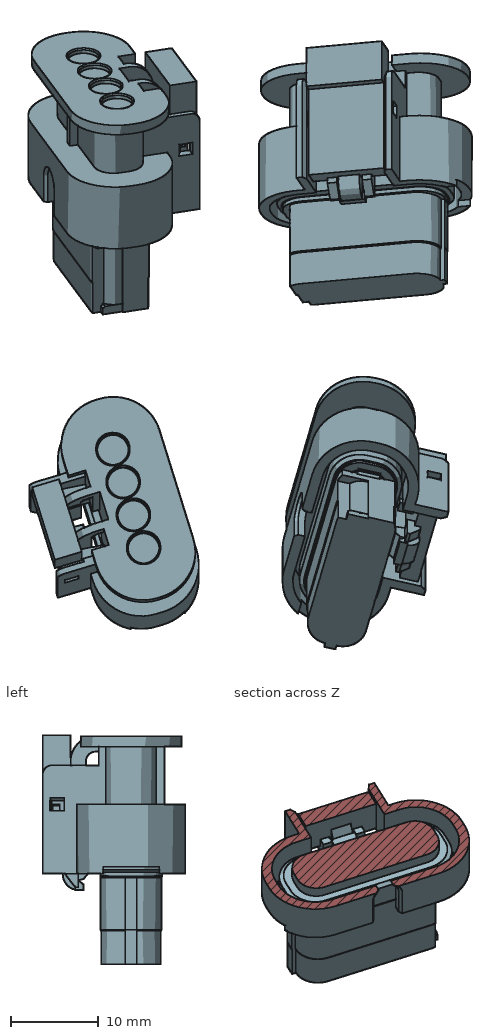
import cadquery as cq
total_height = 26.1
flange_top = 26.0
flange_bottom = 24.8
wing_top = 22.68
collar_top = 18.22
cavity_top = 16.18
seal_top = 13.65
collar_bottom = 10.34
ring_bottom = 10.05
cap_top = 9.9
cap_step_top = 3.97
cap_step_bottom = 3.8

flange_half_x, flange_half_y, flange_radius = 12.05, 5.75, 5.53
collar_half_x, collar_half_y, collar_radius = 12.228, 6.173, 5.77
collar_wall = 1.2
core_half_x, core_half_y, core_radius = 8.72, 2.87, 2.35
neck_half_x, neck_half_y = 8.65, 2.65
plug_half_x = 7.93
ring_half_x, ring_half_y, ring_radius = 9.47, 3.55, 2.9
seal_lip_x, seal_lip_y = 9.63, 3.7
seal_flare = 0.5
seal_bevel = 0.3
seal_bottom = 10.52
core_rib_width = 1.05
core_rib_front = 3.8
gusset_width = 2.6
gusset_drop = 0.23

wire_count = 4
wire_pitch = 4.0
wire_diameter = 3.55
wire_depth = 0.6
wire_chamfer = 0.17

arch_half_width = 1.85
arch_side_height = 3.3
arch_center_z = collar_bottom + arch_side_height
arch_chamfer = 0.3
arch_chamfer_depth = 0.4
end_notch_half_y = 3.2
end_notch_height = 0.75

total_depth = 16.25
back_y = total_depth - collar_half_y
wing_half_x = 5.59
channel_half_x = 4.55
channel_front = 3.7
wing_corner_radius = 1.07
wing_chamfer_width, wing_chamfer_height = 0.37, 0.63
wing_chamfer_front = 6.75
bridge_half_x = 1.67
window_front, window_back = 7.62, 9.25
window_bottom, window_top = 17.51, 18.97
window_bevel = 0.31
ramp_inner_x = 2.8
ramp_slope = 0.45
ramp_back = 6.79
lever_half_x = 4.4
lever_front = 6.9
lever_plate_back = 9.05
lever_pad_bottom = 21.4
lever_bottom = 10.95
arm_inner_x, arm_outer_x = bridge_half_x, 2.58
leg_inner_x = 1.5
leg_top = 22.45
arm_center_y, arm_center_z = 4.05, 23.12
arm_outer_radius = flange_top - arm_center_z
arm_inner_radius = 1.1
arm_bottom = 15.65
nose_half_x = 1.45
heel_half_x = 1.23
hook_top = 12.0
hook_bottom = 8.45
heel_top = 13.05
heel_back = 7.8
heel_arc_middle = (7.35, 9.08)
nose_front, nose_tip_y, nose_back = 4.9, 5.43, 6.37
lug_front, lug_back = 6.0, 7.57
lug_bottom = 8.77
nose_top_slope = 0.15
peg_half_x = 4.52
peg_front, peg_back = 8.12, 8.95
peg_bottom, peg_top = 16.96, 18.25
peg_bevel = 0.18

cap_left, cap_right = -9.05, 9.47
cap_half_y, cap_radius = 3.5, 2.85
cap_center_y = 0.03
cap_cut_x = 8.12
cap_step = 0.091
cap_rib_left = -9.47
cap_rib_half_y = 0.65
cap_rib_step = 0.03
corner_slot_x = 7.23
corner_slot_top = 8.65
foot_front = -2.35
foot_height = 0.75
foot_bevel = 0.25
core_bottom = foot_height + foot_bevel


def block(x_min, x_max, y_min, y_max, z_min, z_max):
    """Box given by its limits along the three axes."""
    size = (x_max - x_min, y_max - y_min, z_max - z_min)
    return cq.Workplane("XY").box(*size, centered=False).translate((x_min, y_min, z_min))


def rounded_block(half_x, half_y, radius, z_min, z_max):
    """Upright block, centred on the Z axis, with rounded vertical corners."""
    return block(-half_x, half_x, -half_y, half_y, z_min, z_max).edges("|Z").fillet(radius)


def side_prism(points, x_min, x_max):
    """Prism along X from (Y, Z) points."""
    outline = cq.Workplane("YZ", origin=(x_min, 0, 0)).polyline(points).close()
    return outline.extrude(x_max - x_min)


def both_sides(body):
    """The body together with its mirror image in the YZ plane."""
    return body.union(body.mirror("YZ"))


def flange():
    plate = rounded_block(flange_half_x, flange_half_y, flange_radius, flange_bottom, flange_top)
    latch_notch = block(-channel_half_x, channel_half_x, channel_front, back_y, flange_bottom, flange_top)
    return plate.cut(latch_notch)


def cut_wire_entries(body):
    first_x = -wire_pitch * (wire_count - 1) / 2
    places = [(first_x + i * wire_pitch, 0) for i in range(wire_count)]
    top = cq.Workplane("XY", origin=(0, 0, flange_top)).pushPoints(places)
    recesses = top.circle(wire_diameter / 2).extrude(-wire_depth)
    for x, y in places:
        rim = cq.Solid.makeCone(
            wire_diameter / 2, wire_diameter / 2 + wire_chamfer, wire_chamfer,
            pnt=cq.Vector(x, y, flange_top - wire_chamfer),
        )
        recesses = recesses.union(cq.Workplane(rim))
    return body.cut(recesses)


def core():
    upper = rounded_block(core_half_x, core_half_y, core_radius, ring_bottom, flange_bottom)
    neck = rounded_block(neck_half_x, neck_half_y, core_radius, cap_top, ring_bottom)
    rib = block(-core_rib_width / 2, core_rib_width / 2, -core_rib_front, 0, cavity_top, flange_bottom)
    return upper.union(neck).union(plug()).union(rib)


def plug():
    """Lower end of the core; the cap has a recess of the same shape."""
    return rounded_block(plug_half_x, neck_half_y, core_radius, core_bottom, cap_top)


def neck_gusset():
    """Sloped rib under the ring, beside the cut end of the cap."""
    gusset_bottom = cap_top - gusset_drop
    outline = [
        (plug_half_x, ring_bottom),
        (neck_half_x, ring_bottom),
        (cap_cut_x, gusset_bottom),
        (cap_cut_x, cap_top),
        (plug_half_x, cap_top),
    ]
    prism = cq.Workplane("XZ", origin=(0, gusset_width / 2, 0)).polyline(outline).close()
    return prism.extrude(gusset_width)


def seal_and_ring():
    ring = rounded_block(ring_half_x, ring_half_y, ring_radius, ring_bottom, seal_bottom)
    seal_radius = ring_radius + seal_lip_y - ring_half_y + seal_flare
    seal = rounded_block(
        seal_lip_x + seal_flare, seal_lip_y + seal_flare, seal_radius, seal_bottom, seal_top
    )
    return ring.union(seal.faces("<Z or >Z").chamfer(seal_bevel, seal_flare))


def collar_cavity():
    return rounded_block(
        collar_half_x - collar_wall, collar_half_y - collar_wall, collar_radius - collar_wall,
        collar_bottom, cavity_top,
    )


def collar():
    body = rounded_block(collar_half_x, collar_half_y, collar_radius, collar_bottom, collar_top)
    end_notch = block(
        -collar_half_x, -collar_half_x / 2, -end_notch_half_y, end_notch_half_y,
        collar_bottom, collar_bottom + end_notch_height,
    )
    return body.cut(collar_cavity()).cut(end_notch).cut(front_arch())


def arch_outline(y, half_width):
    return (
        cq.Workplane("XZ", origin=(0, y, 0))
        .moveTo(-half_width, collar_bottom)
        .lineTo(-half_width, arch_center_z)
        .threePointArc((0, arch_center_z + half_width), (half_width, arch_center_z))
        .lineTo(half_width, collar_bottom)
        .close()
    )


def front_arch():
    """Arched opening in the front wall, with a bevelled outer edge."""
    inner_half = arch_half_width - arch_chamfer
    opening = arch_outline(-collar_half_y, inner_half).extrude(-collar_wall)
    outer_wire = arch_outline(-collar_half_y, arch_half_width).wires().val()
    inner_wire = arch_outline(-collar_half_y + arch_chamfer_depth, inner_half).wires().val()
    bevel = cq.Solid.makeLoft([outer_wire, inner_wire], True)
    return opening.union(cq.Workplane(bevel))


def wing():
    """Left side wall of the latch guard, with its window and its share of the bridge to the core."""
    front = block(-wing_half_x, -channel_half_x, 0, wing_chamfer_front, collar_bottom, wing_top)
    rear = block(-wing_half_x, -channel_half_x, wing_chamfer_front, back_y, collar_bottom, wing_top)
    rear = rear.edges("|X and >Y and >Z").fillet(wing_corner_radius)
    rear = rear.faces(">X").edges("|Y and >Z").chamfer(wing_chamfer_width, wing_chamfer_height)
    window = side_prism(
        [
            (window_front, window_bottom),
            (window_back, window_bottom),
            (window_back, window_top),
            (window_front, window_top),
        ],
        -wing_half_x, -channel_half_x,
    ).faces(">X").edges(">Z").chamfer(window_bevel)
    bridge = block(-wing_half_x, -bridge_half_x, 0, channel_front, cavity_top, flange_bottom)
    return front.union(rear).cut(window).union(bridge)


def ramp():
    """Sloped block between the left wing and the latch lever."""
    rise = ramp_slope * (ramp_back - channel_front)
    outline = [
        (channel_front, cavity_top),
        (ramp_back, cavity_top),
        (ramp_back, collar_top + rise),
        (channel_front, collar_top),
    ]
    return side_prism(outline, -channel_half_x, -ramp_inner_x)


def latch_arm():
    """Left arm of the lever: rises from the lever plate and curves over into the flange."""
    outer_y = arm_center_y + arm_outer_radius
    inner_y = arm_center_y + arm_inner_radius
    diagonal = 0.5 ** 0.5
    leg = block(-arm_outer_x, -leg_inner_x, inner_y, outer_y, arm_bottom, leg_top)
    arm = (
        cq.Workplane("YZ", origin=(-arm_outer_x, 0, 0))
        .moveTo(inner_y, arm_bottom)
        .lineTo(outer_y, arm_bottom)
        .lineTo(outer_y, arm_center_z)
        .threePointArc(
            (arm_center_y + diagonal * arm_outer_radius, arm_center_z + diagonal * arm_outer_radius),
            (arm_center_y, flange_top),
        )
        .lineTo(channel_front, flange_top)
        .lineTo(channel_front, arm_center_z + arm_inner_radius)
        .lineTo(arm_center_y, arm_center_z + arm_inner_radius)
        .threePointArc(
            (arm_center_y + diagonal * arm_inner_radius, arm_center_z + diagonal * arm_inner_radius),
            (inner_y, arm_center_z),
        )
        .close()
        .extrude(arm_outer_x - arm_inner_x)
    )
    return arm.union(leg)


def latch_peg():
    """Small peg on the left side of the lever, behind the wing window."""
    outline = [
        (-lever_half_x, peg_bottom),
        (-peg_half_x, peg_bottom),
        (-peg_half_x, peg_top - peg_bevel),
        (-lever_half_x, peg_top),
    ]
    peg = cq.Workplane("XZ", origin=(0, peg_back, 0)).polyline(outline).close()
    return peg.extrude(peg_back - peg_front)


def latch_hook():
    """Hook under the lever: rounded heel, notched nose and a lug on each side."""
    notch_upper_z, notch_corner_z, notch_lower_z = 9.7, 9.58, 9.1
    nose_top_front = hook_top - nose_top_slope * (nose_back - nose_front)
    heel = (
        cq.Workplane("YZ", origin=(-heel_half_x, 0, 0))
        .moveTo(nose_back, hook_top)
        .lineTo(lever_front, heel_top)
        .lineTo(heel_back, hook_top)
        .lineTo(heel_back, collar_bottom)
        .threePointArc(heel_arc_middle, (lug_front, hook_bottom))
        .close()
        .extrude(2 * heel_half_x)
    )
    nose = side_prism(
        [
            (nose_back, hook_top),
            (nose_front, nose_top_front),
            (nose_front, collar_bottom),
            (nose_tip_y, notch_upper_z),
            (lug_front, notch_corner_z),
            (nose_tip_y, notch_lower_z),
            (nose_tip_y, hook_bottom),
            (nose_back, hook_bottom),
        ],
        -nose_half_x, nose_half_x,
    )
    lug = side_prism(
        [
            (lug_front, hook_top),
            (lug_back, hook_top),
            (lug_back, collar_bottom),
            (nose_back, lug_bottom),
            (lug_front, lug_bottom),
        ],
        -arm_outer_x, -leg_inner_x,
    )
    return heel.union(nose).union(both_sides(lug))


def latch_lever():
    plate = block(-lever_half_x, lever_half_x, lever_front, lever_plate_back, lever_bottom, total_height)
    pad = block(-lever_half_x, lever_half_x, lever_front, back_y, lever_pad_bottom, total_height)
    return plate.union(pad).union(both_sides(latch_arm().union(latch_peg()))).union(latch_hook())


def latch_channel():
    """Space between the wings, open at the back and at both ends."""
    return block(-channel_half_x, channel_half_x, channel_front, back_y, collar_bottom, total_height)


def bridge_gap():
    """Gap behind the core through the flange and the collar, between the two bridges."""
    return block(-bridge_half_x, bridge_half_x, core_half_y, back_y, cavity_top, total_height)


def housing():
    guard = both_sides(wing())
    body = collar().union(guard.cut(collar_cavity())).union(flange())
    body = body.cut(latch_channel()).cut(bridge_gap())
    body = body.union(core()).union(neck_gusset()).union(seal_and_ring())
    body = body.union(both_sides(ramp())).union(latch_lever())
    return cut_wire_entries(body)


def cap_outline(inset, z_min, z_max):
    return (
        block(
            cap_left + inset, cap_right - inset,
            cap_center_y - cap_half_y + inset, cap_center_y + cap_half_y - inset,
            z_min, z_max,
        )
        .edges("|Z")
        .fillet(cap_radius - inset)
    )


def cap_rib(inset, z_min, z_max):
    return block(cap_rib_left + inset, -plug_half_x, -cap_rib_half_y, cap_rib_half_y, z_min, z_max)


def cap():
    upper = cap_outline(0, cap_step_bottom, cap_top)
    upper = upper.faces("<Z").chamfer(cap_step_top - cap_step_bottom, cap_step)
    body = upper.union(cap_outline(cap_step, 0, cap_step_bottom))
    body = body.union(cap_rib(0, cap_step_top, cap_top)).union(cap_rib(cap_rib_step, 0, cap_step_top))
    body = body.cut(block(cap_cut_x, cap_right, -cap_half_y, 2 * cap_half_y, 0, cap_top))
    body = body.cut(block(corner_slot_x, cap_right, -2 * cap_half_y, 0, 0, corner_slot_top))
    foot = side_prism(
        [
            (foot_front, 0),
            (0, 0),
            (0, core_bottom),
            (foot_front + foot_bevel, core_bottom),
            (foot_front, foot_height),
        ],
        corner_slot_x, plug_half_x,
    )
    return body.union(foot).cut(plug())


result = cq.Compound.makeCompound([housing().val(), cap().val()])